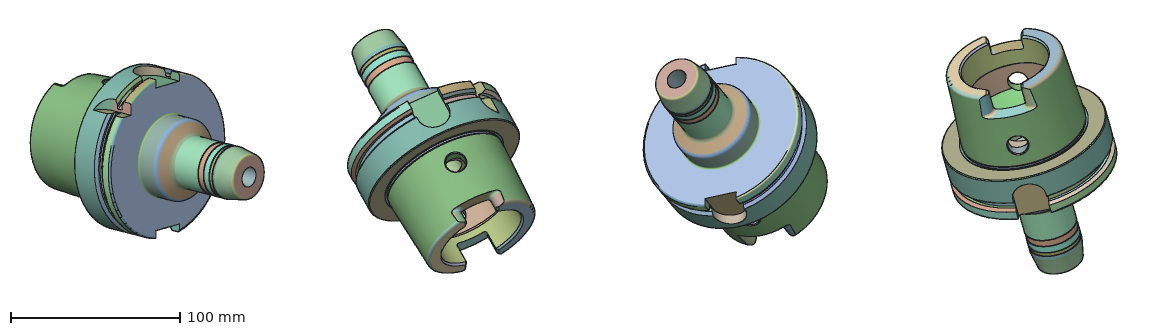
import cadquery as cq
import math


total_length = 145.0
flange_front_x = 50.0
flange_back_x = 79.0

taper_slope = 0.05
taper_end_x = 47.8
band_end_x = 48.6
relief_start_x = 49.3
relief_radius = 37.7
taper_large_radius = 38.0
taper_small_radius = taper_large_radius - taper_slope * taper_end_x
mouth_round = 1.9
face_recess_radius = 39.2
face_recess_depth = 0.5

flange_radius = 50.0
front_edge_chamfer = 0.6
back_edge_round = 1.2
groove_floor_radius = 46.0
groove_mouth_x = (66.5, 73.1)
groove_floor_x = (68.0, 71.6)
groove_wall_radius = 47.8
groove_corner_round = 0.7

collar_radius = 50.0 / 2
collar_base_round = 0.9
nose_radius = 32.0 / 2
cone_start_x = 93.0
cone_angle = 60.0
cone_blend_radius = 2.9
nose_groove_radius = 15.5
nose_grooves = ((118.6, 123.0), (127.6, 130.0))
tip_start_x = 132.4
tip_angle = 10.0
tip_round = 1.3

lip_bore_radius = 26.5
lip_chamfer_height = 0.9
lip_chamfer_length = 1.5
lip_end_x = 19.5
chamber_radius = 31.5
chamber_cone_angle = 55.0
chamber_end_x = 39.2
bore_floor_radius = 24.8
bore_floor_x = 49.3
thread_bore_diameter = 22.3
thread_bore_depth = 11.6
screw_head_diameter = 12.0
screw_head_depth = 4.4
screw_hole_diameter = 8.8
tool_bore_diameter = 12.0
tool_bore_depth = 46.4

notch_half_width = 19.6 / 2
notch_wall_top = 27.3
notch_shelf_height = 32.2
notch_floor_round = 1.7
notch_mouth_chamfer = 1.5
top_notch_depth = 9.5
bottom_notch_depth = 14.8

cross_hole_x = 35.0
cross_hole_diameter = 12.0
cross_hole_chamfer = 0.6

slot_width = 20.0
slot_start_x = 54.8
slot_floor_height = 44.0
corner_slot_inner_y = -31.6
corner_slot_floor_z = 31.6

edge_tolerance = 0.01


def to_bottom(cutter):
    """Turn a +Z cutter half a turn about X so that it acts on the -Z side."""
    return cutter.rotate((0, 0, 0), (1, 0, 0), 180)


def round_ring(solid, x, radius, size):
    """Round the circular edge of the given radius at station x."""
    at_station = cq.selectors.BoxSelector(
        (x - edge_tolerance, -flange_radius, -flange_radius),
        (x + edge_tolerance, flange_radius, flange_radius),
    )
    ring = [edge for edge in solid.edges(at_station).vals() if abs(edge.radius() - radius) < edge_tolerance]
    return solid.newObject(ring).fillet(size)


def turned_body():
    """Solid of revolution for the shank, flange, collar and nose."""
    cone_end_x = cone_start_x + (collar_radius - nose_radius) / math.tan(math.radians(cone_angle))
    tip_end_radius = nose_radius - (total_length - tip_start_x) * math.tan(math.radians(tip_angle))
    points = [
        (0, 0),
        (0, taper_small_radius),
        (taper_end_x, taper_large_radius),
        (band_end_x, taper_large_radius),
        (relief_start_x, relief_radius),
        (flange_front_x + face_recess_depth, relief_radius),
        (flange_front_x + face_recess_depth, face_recess_radius),
        (flange_front_x, face_recess_radius),
        (flange_front_x, flange_radius - front_edge_chamfer),
        (flange_front_x + front_edge_chamfer, flange_radius),
        (groove_mouth_x[0], flange_radius),
        (groove_floor_x[0], groove_wall_radius),
        (groove_floor_x[0], groove_floor_radius),
        (groove_floor_x[1], groove_floor_radius),
        (groove_floor_x[1], groove_wall_radius),
        (groove_mouth_x[1], flange_radius),
        (flange_back_x, flange_radius),
        (flange_back_x, collar_radius),
        (cone_start_x, collar_radius),
        (cone_end_x, nose_radius),
    ]
    for start_x, end_x in nose_grooves:
        points += [
            (start_x, nose_radius),
            (start_x, nose_groove_radius),
            (end_x, nose_groove_radius),
            (end_x, nose_radius),
        ]
    points += [
        (tip_start_x, nose_radius),
        (total_length, tip_end_radius),
        (total_length, 0),
    ]
    body = cq.Workplane("XY").polyline(points).close().revolve(360, (0, 0, 0), (1, 0, 0))

    body = round_ring(body, 0, taper_small_radius, mouth_round)
    body = round_ring(body, groove_floor_x[0], groove_floor_radius, groove_corner_round)
    body = round_ring(body, flange_back_x, flange_radius, back_edge_round)
    body = round_ring(body, flange_back_x, collar_radius, collar_base_round)
    body = round_ring(body, cone_start_x, collar_radius, cone_blend_radius)
    body = round_ring(body, cone_end_x, nose_radius, cone_blend_radius)
    return round_ring(body, total_length, tip_end_radius, tip_round)


def internal_bore():
    """Cutter for the stepped bore running the whole length of the part."""
    cone_end_x = lip_end_x + (chamber_radius - lip_bore_radius) / math.tan(math.radians(chamber_cone_angle))
    thread_end_x = bore_floor_x + thread_bore_depth
    head_end_x = thread_end_x + screw_head_depth
    tool_start_x = total_length - tool_bore_depth
    points = [
        (0, 0),
        (0, lip_bore_radius + lip_chamfer_height),
        (lip_chamfer_length, lip_bore_radius),
        (lip_end_x, lip_bore_radius),
        (cone_end_x, chamber_radius),
        (chamber_end_x, chamber_radius),
        (bore_floor_x, bore_floor_radius),
        (bore_floor_x, thread_bore_diameter / 2),
        (thread_end_x, thread_bore_diameter / 2),
        (thread_end_x, screw_head_diameter / 2),
        (head_end_x, screw_head_diameter / 2),
        (head_end_x, screw_hole_diameter / 2),
        (tool_start_x, screw_hole_diameter / 2),
        (tool_start_x, tool_bore_diameter / 2),
        (total_length, tool_bore_diameter / 2),
        (total_length, 0),
    ]
    return cq.Workplane("XY").polyline(points).close().revolve(360, (0, 0, 0), (1, 0, 0))


def drive_notch(depth):
    """Cutter for the +Z notch: straight walls flaring through a round onto a flat shelf."""
    flare = notch_shelf_height - notch_wall_top
    shelf_edge = notch_half_width + flare
    bend = flare * math.sqrt(0.5)
    outside = relief_radius
    notch = (
        cq.Workplane("YZ")
        .moveTo(-notch_half_width, 0)
        .lineTo(-notch_half_width, notch_wall_top)
        .threePointArc((-shelf_edge + bend, notch_wall_top + bend), (-shelf_edge, notch_shelf_height))
        .lineTo(-outside, notch_shelf_height)
        .lineTo(-outside, outside)
        .lineTo(outside, outside)
        .lineTo(outside, notch_shelf_height)
        .lineTo(shelf_edge, notch_shelf_height)
        .threePointArc((shelf_edge - bend, notch_wall_top + bend), (notch_half_width, notch_wall_top))
        .lineTo(notch_half_width, 0)
        .close()
        .extrude(depth)
    )
    wall_edges = cq.selectors.BoxSelector(
        (depth - edge_tolerance, edge_tolerance - outside, edge_tolerance),
        (depth + edge_tolerance, outside - edge_tolerance, outside - edge_tolerance),
    )
    notch = notch.edges(wall_edges).fillet(notch_floor_round)
    mouth = (
        cq.Workplane("XY")
        .polyline(
            [
                (0, -notch_half_width - notch_mouth_chamfer),
                (notch_mouth_chamfer, -notch_half_width),
                (notch_mouth_chamfer, notch_half_width),
                (0, notch_half_width + notch_mouth_chamfer),
            ]
        )
        .close()
        .extrude(outside)
    )
    return notch.union(mouth)


def with_cross_hole(solid):
    """Drill the Z hole through both shank walls and chamfer its outer mouths."""
    radius = cross_hole_diameter / 2
    reach = 2 * relief_radius
    hole = cq.Workplane("XY").center(cross_hole_x, 0).circle(radius).extrude(reach, both=True)
    drilled = solid.cut(hole)
    mid_wall_radius = (chamber_radius + relief_radius) / 2
    for side in (1, -1):
        around_mouth = cq.selectors.BoxSelector(
            (cross_hole_x - radius, -radius, side * mid_wall_radius),
            (cross_hole_x + radius, radius, side * reach),
        )
        drilled = drilled.edges(around_mouth).chamfer(cross_hole_chamfer)
    return drilled


def rim_slot(center_y, floor_z):
    """Cutter for a round-ended slot open to the back of the flange, above floor_z."""
    round_center_x = slot_start_x + slot_width / 2
    length = flange_back_x - round_center_x
    height = flange_radius - floor_z
    end = cq.Workplane("XY").center(round_center_x, center_y).circle(slot_width / 2).extrude(height)
    run = (
        cq.Workplane("XY")
        .center(round_center_x + length / 2, center_y)
        .rect(length, slot_width)
        .extrude(height)
    )
    return end.union(run).translate((0, 0, floor_z))


top_slot = rim_slot(0, slot_floor_height)
corner_slot = rim_slot(corner_slot_inner_y - slot_width / 2, corner_slot_floor_z)

body = (
    turned_body()
    .cut(internal_bore())
    .cut(drive_notch(top_notch_depth))
    .cut(to_bottom(drive_notch(bottom_notch_depth)))
)
result = with_cross_hole(body).cut(top_slot).cut(to_bottom(top_slot)).cut(corner_slot)